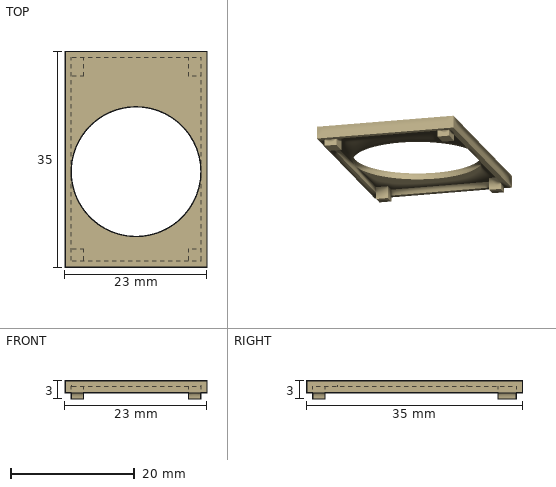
import cadquery as cq

cover_width = 22.98
cover_length = 34.97
top_thickness = 1.0
rim_height = 1.0
rim_thickness = 1.0
cover_height = top_thickness + rim_height

window_diameter = 20.98
window_offset_y = -2.0

total_height = 3.0
foot_height = total_height - top_thickness
foot_width = 2.0
front_foot_length = 2.0
rear_foot_length = 3.0

recess_ceiling_z = rim_height
recess_width = cover_width - 2 * rim_thickness
recess_length = cover_length - 2 * rim_thickness


def make_cover():
    """Rectangular cover, hollowed from below, with the round window through its top."""
    body = cq.Workplane("XY").rect(cover_width, cover_length).extrude(cover_height)
    recess = cq.Workplane("XY").rect(recess_width, recess_length).extrude(recess_ceiling_z)
    window = (
        cq.Workplane("XY")
        .center(0, window_offset_y)
        .circle(window_diameter / 2)
        .extrude(cover_height)
    )
    return body.cut(recess).cut(window)


def make_foot_pair(end, foot_length):
    """Two rectangular feet in the recess corners; end is -1 for the -Y end, +1 for the +Y end."""
    foot_x = (recess_width - foot_width) / 2
    foot_y = end * (recess_length - foot_length) / 2
    return (
        cq.Workplane("XY")
        .workplane(offset=recess_ceiling_z)
        .pushPoints([(-foot_x, foot_y), (foot_x, foot_y)])
        .rect(foot_width, foot_length)
        .extrude(-foot_height)
    )


front_feet = make_foot_pair(-1, front_foot_length)
rear_feet = make_foot_pair(1, rear_foot_length)
result = make_cover().union(front_feet).union(rear_feet)